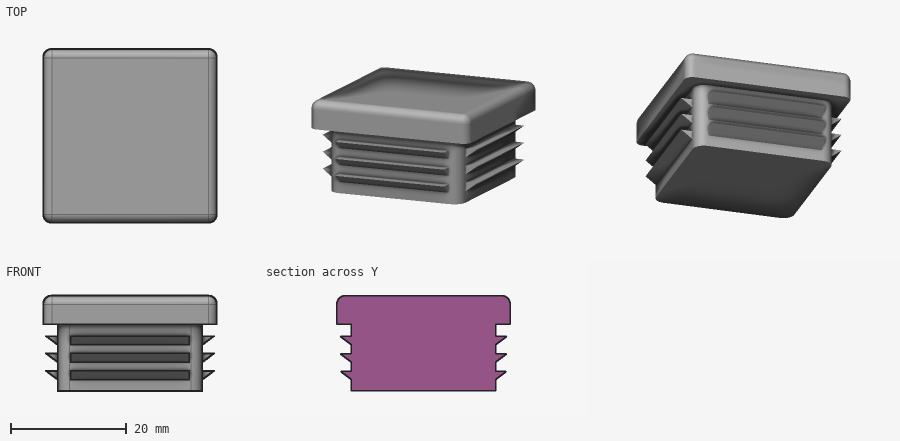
import cadquery as cq

cap_side = 30.0
cap_height = 5.0
cap_edge_radius = 1.5

body_side = 25.0
body_height = 11.5
body_corner_radius = 2.0

fin_length = 20.5
fin_reach = 2.0
fin_height = 1.5
fin_pitch = 3.0
fin_count = 3
lowest_fin_top = 3.5
fin_embed = 0.5


def make_body():
    return (
        cq.Workplane("XY")
        .rect(body_side, body_side)
        .extrude(body_height)
        .edges("|Z")
        .fillet(body_corner_radius)
    )


def make_cap():
    return (
        cq.Workplane("XY", origin=(0, 0, body_height))
        .rect(cap_side, cap_side)
        .extrude(cap_height)
        .edges("|Z or >Z")
        .fillet(cap_edge_radius)
    )


def make_fin(top_z):
    """Triangular barb on the +X side: flat on top, sloping in to the body below."""
    root_x = body_side / 2
    inner_x = root_x - fin_embed
    root_z = top_z - fin_height
    return (
        cq.Workplane("XZ", origin=(0, fin_length / 2, 0))
        .moveTo(inner_x, top_z)
        .lineTo(root_x + fin_reach, top_z)
        .lineTo(root_x, root_z)
        .lineTo(inner_x, root_z)
        .close()
        .extrude(fin_length)
    )


result = make_body().union(make_cap())
for level in range(fin_count):
    fin = make_fin(lowest_fin_top + level * fin_pitch)
    for side_angle in (0, 90, 180, 270):
        result = result.union(fin.rotate((0, 0, 0), (0, 0, 1), side_angle))